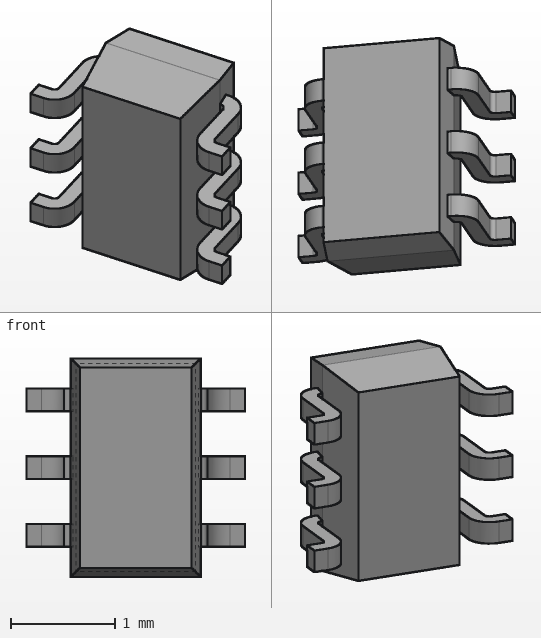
import cadquery as cq
import math


housing_width = 1.25
housing_length = 2.1
standoff = 0.1
overall_height = 1.1
ridge_height = 0.727
draft_angle = 8.0

lead_span = 2.1
lead_thickness = 0.165
lead_width = 0.22
lead_pitch = 0.65
leads_per_side = 3
foot_length = 0.361
inner_bend_radius = 0.05

outer_bend_radius = inner_bend_radius + lead_thickness
foot_tip = lead_span / 2
leg_inner = foot_tip - foot_length
leg_outer = leg_inner + lead_thickness
shoulder_bottom = ridge_height
shoulder_top = shoulder_bottom + lead_thickness
shoulder_start = housing_width / 2 - lead_thickness
diagonal = math.sqrt(0.5)


def tapered_block(depth):
    """Half of the housing: from the ridge section at Y = 0, narrowing towards +Y or -Y."""
    inset = abs(depth) * math.tan(math.radians(draft_angle))
    return (
        cq.Workplane("XZ")
        .rect(housing_width, housing_length)
        .workplane(offset=-depth)
        .rect(housing_width - 2 * inset, housing_length - 2 * inset)
        .loft(ruled=True)
        .translate((0, ridge_height, 0))
    )


def make_housing():
    """Single moulding, tapering both ways from its ridge."""
    far_half = tapered_block(overall_height - ridge_height)
    near_half = tapered_block(standoff - ridge_height)
    return far_half.union(near_half).solids()


def bend(path, centre, radius, side, end):
    """Add a quarter arc through the point of the bend lying diagonally from its centre."""
    middle = (
        centre[0] + side[0] * radius * diagonal,
        centre[1] + side[1] * radius * diagonal,
    )
    return path.threePointArc(middle, end)


def make_lead(housing, z_centre):
    """Gull-wing lead on the +X side, its shoulder ending flush on the sloping housing side."""
    low_centre = (leg_inner + outer_bend_radius, outer_bend_radius)
    high_centre = (leg_outer - outer_bend_radius, shoulder_top - outer_bend_radius)
    low_side = (-1, -1)
    high_side = (1, 1)

    path = cq.Workplane("XY", origin=(0, 0, z_centre - lead_width / 2))
    path = path.moveTo(foot_tip, 0).lineTo(low_centre[0], 0)
    path = bend(path, low_centre, outer_bend_radius, low_side, (leg_inner, low_centre[1]))
    path = path.lineTo(leg_inner, high_centre[1])
    path = bend(path, high_centre, inner_bend_radius, high_side, (high_centre[0], shoulder_bottom))
    path = path.lineTo(shoulder_start, shoulder_bottom).lineTo(shoulder_start, shoulder_top)
    path = path.lineTo(high_centre[0], shoulder_top)
    path = bend(path, high_centre, outer_bend_radius, high_side, (leg_outer, high_centre[1]))
    path = path.lineTo(leg_outer, low_centre[1])
    path = bend(path, low_centre, inner_bend_radius, low_side, (low_centre[0], lead_thickness))
    path = path.lineTo(foot_tip, lead_thickness).close()
    return path.extrude(lead_width).cut(housing).solids()


housing = make_housing()

leads = []
for index in range(leads_per_side):
    z_centre = (index - (leads_per_side - 1) / 2) * lead_pitch
    lead = make_lead(housing, z_centre)
    leads.append(lead.val())
    leads.append(lead.val().mirror("YZ"))

result = cq.Compound.makeCompound([housing.val(), *leads])